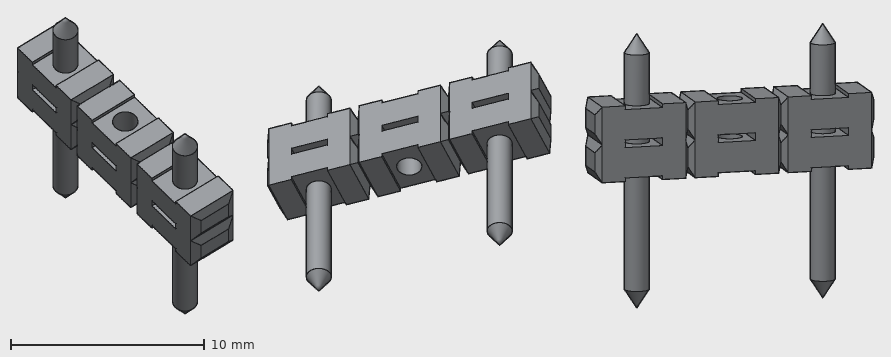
import cadquery as cq

total_length = 15.0
block_count = 3
pitch = total_length / block_count
depth = 2.8
height = 4.0

pads_per_end = 2
pad_rise = 0.25
pad_inset = 0.5
pad_height = height / pads_per_end
core_length = pitch - 2 * pad_rise

channel_width = 2.0
groove_depth = 0.2
slot_height = 0.4

pin_diameter = 1.3
pin_radius = pin_diameter / 2
pin_above = 3.5
pin_below = 7.0
tip_length = 1.0
pin_top = height / 2 + pin_above
pin_bottom = -height / 2 - pin_below


def make_pad(side, center_z):
    """Tapered pad standing on the end face at the given side (+1 or -1) of a block."""
    return (
        cq.Workplane("YZ", origin=(side * core_length / 2, 0, center_z))
        .rect(depth, pad_height)
        .workplane(offset=side * pad_rise)
        .rect(depth - 2 * pad_inset, pad_height - 2 * pad_inset)
        .loft(combine=True)
    )


def make_block():
    """One block with end pads, grooves and a slot running through along Y."""
    block = cq.Workplane("XY").box(core_length, depth, height)
    for groove_z in (-(height - groove_depth) / 2, (height - groove_depth) / 2):
        groove = cq.Workplane("XY", origin=(0, 0, groove_z)).box(channel_width, depth, groove_depth)
        block = block.cut(groove)
    block = block.cut(cq.Workplane("XY").box(channel_width, depth, slot_height))
    for side in (-1, 1):
        for row in range(pads_per_end):
            center_z = (row - (pads_per_end - 1) / 2) * pad_height
            block = block.union(make_pad(side, center_z))
    return block


def make_pin():
    """Round pin along Z with a sharp cone at each end."""
    return (
        cq.Workplane("XZ")
        .moveTo(0, pin_bottom)
        .lineTo(pin_radius, pin_bottom + tip_length)
        .lineTo(pin_radius, pin_top - tip_length)
        .lineTo(0, pin_top)
        .close()
        .revolve(360, (0, 0, 0), (0, 1, 0))
    )


def make_housing():
    """All blocks in a row, with the empty pin hole through the middle one."""
    housing = cq.Workplane("XY")
    for index in range(block_count):
        center_x = (index - (block_count - 1) / 2) * pitch
        housing = housing.union(make_block().translate((center_x, 0, 0)))
    hole = cq.Workplane("XY").cylinder(height, pin_radius)
    return housing.cut(hole)


result = make_housing()
for pin_x in (-pitch, pitch):
    result = result.union(make_pin().translate((pin_x, 0, 0)))